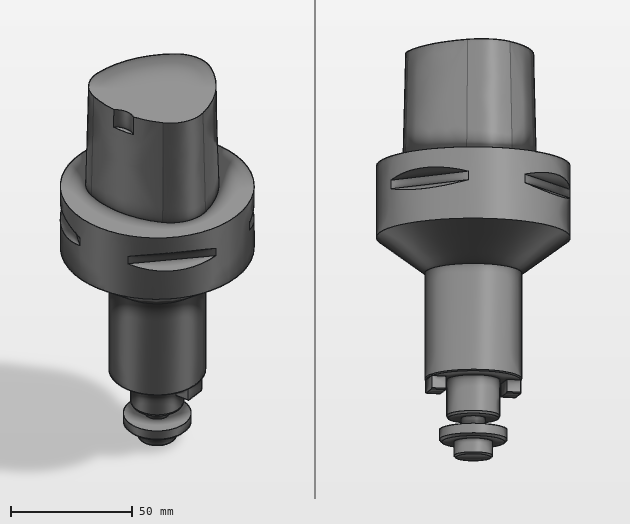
import cadquery as cq
import math


shank_height = 48.0
shank_taper = math.degrees(math.atan(1 / 40))
corner_reach = 29.6
corner_radius = 16.5
side_reach = 25.45
side_spacing = 120
corner_spacing = side_spacing / 2
first_side_angle = -90

notch_depth = 8.5
notch_radius = 8.0
notch_reach = 22.3

flange_diameter = 80.0
flange_height = 30.0
cone_height = 15.0

groove_count = 4
groove_first_angle = 45.0
groove_center_z = -12.0
groove_floor_reach = 35.5
groove_floor_width = 3.6
groove_flank_angle = 30.0

arbor_diameter = 40.0
arbor_end_z = -90.0
arbor_chamfer = 0.5
pilot_diameter = 22.0
pilot_length = 16.0
pilot_chamfer_height = 1.0
pilot_chamfer_angle = 30.0
neck_diameter = 10.0
neck_length = 5.0
collar_diameter = 28.0
collar_thickness = 5.0
collar_chamfer = 1.0
head_diameter = 16.0
head_length = 6.5
head_chamfer = 0.7

key_inner_reach = 13.0
key_outer_reach = 19.0
key_width = 10.0
key_height = 5.6
key_chamfer = 0.5


def polar(radius, angle):
    """Point at a distance and an angle (degrees) from the origin."""
    return (radius * math.cos(math.radians(angle)), radius * math.sin(math.radians(angle)))


def make_shank():
    corner_offset = corner_reach - corner_radius
    reach_excess = side_reach - corner_radius
    side_offset = (corner_offset**2 - reach_excess**2) / (2 * reach_excess - corner_offset)
    side_radius = side_reach + side_offset

    half_sweep = math.degrees(
        math.atan2(
            corner_offset * math.sin(math.radians(corner_spacing)),
            side_offset + corner_offset * math.cos(math.radians(corner_spacing)),
        )
    )

    def side_point(side_angle, sweep):
        center = polar(side_offset, side_angle + 180)
        spoke = polar(side_radius, side_angle + sweep)
        return (center[0] + spoke[0], center[1] + spoke[1])

    outline = cq.Workplane("XY").moveTo(*side_point(first_side_angle, -half_sweep))
    for side_index in range(3):
        side_angle = first_side_angle + side_index * side_spacing
        outline = outline.threePointArc(
            polar(side_reach, side_angle), side_point(side_angle, half_sweep)
        )
        outline = outline.threePointArc(
            polar(corner_reach, side_angle + corner_spacing),
            side_point(side_angle + side_spacing, -half_sweep),
        )
    return outline.close().extrude(shank_height, taper=shank_taper)


def make_notch():
    return (
        cq.Workplane("XY", origin=(0, -notch_reach - notch_radius, shank_height - notch_depth))
        .circle(notch_radius)
        .extrude(notch_depth)
    )


def make_round_body():
    """Flange, cone, arbor, pilot, screw neck, collar and head, turned about Z."""
    flange_radius = flange_diameter / 2
    arbor_radius = arbor_diameter / 2
    pilot_radius = pilot_diameter / 2
    neck_radius = neck_diameter / 2
    collar_radius = collar_diameter / 2
    head_radius = head_diameter / 2

    cone_end_z = -flange_height - cone_height
    pilot_end_z = arbor_end_z - pilot_length
    collar_top_z = pilot_end_z - neck_length
    collar_end_z = collar_top_z - collar_thickness
    head_end_z = collar_end_z - head_length
    pilot_chamfer_width = pilot_chamfer_height * math.tan(math.radians(pilot_chamfer_angle))

    profile = [
        (0, 0),
        (flange_radius, 0),
        (flange_radius, -flange_height),
        (arbor_radius, cone_end_z),
        (arbor_radius, arbor_end_z + arbor_chamfer),
        (arbor_radius - arbor_chamfer, arbor_end_z),
        (pilot_radius, arbor_end_z),
        (pilot_radius, pilot_end_z + pilot_chamfer_height),
        (pilot_radius - pilot_chamfer_width, pilot_end_z),
        (neck_radius, pilot_end_z),
        (neck_radius, collar_top_z),
        (collar_radius, collar_top_z),
        (collar_radius, collar_end_z + collar_chamfer),
        (collar_radius - collar_chamfer, collar_end_z),
        (head_radius, collar_end_z),
        (head_radius, head_end_z + head_chamfer),
        (head_radius - head_chamfer, head_end_z),
        (0, head_end_z),
    ]
    return cq.Workplane("XZ").polyline(profile).close().revolve(360, (0, 0), (0, 1))


def make_groove(angle):
    """Cutter with a flat floor and sloping flanks, facing outward at an angle around Z."""
    rim_clearance = 1.0
    outer_reach = flange_diameter / 2 + rim_clearance
    half_floor = groove_floor_width / 2
    flank_rise = (outer_reach - groove_floor_reach) * math.tan(math.radians(groove_flank_angle))
    half_mouth = half_floor + flank_rise
    section = [
        (groove_floor_reach, groove_center_z - half_floor),
        (outer_reach, groove_center_z - half_mouth),
        (outer_reach, groove_center_z + half_mouth),
        (groove_floor_reach, groove_center_z + half_floor),
    ]
    cutter = cq.Workplane("XZ").polyline(section).close().extrude(flange_diameter / 2, both=True)
    return cutter.rotate((0, 0, 0), (0, 0, 1), angle)


def make_key(direction):
    """Drive key on the +X (direction 1) or -X (direction -1) side."""
    center_x = direction * (key_inner_reach + key_outer_reach) / 2
    overlap = 1.0
    return (
        cq.Workplane("XY", origin=(center_x, 0, arbor_end_z - key_height))
        .rect(key_outer_reach - key_inner_reach, key_width)
        .extrude(key_height + overlap)
        .edges("<Z and |X")
        .chamfer(key_chamfer)
    )


result = make_round_body().union(make_shank().cut(make_notch()))
for groove_index in range(groove_count):
    result = result.cut(make_groove(groove_first_angle + groove_index * 360 / groove_count))
for key_direction in (-1, 1):
    result = result.union(make_key(key_direction))